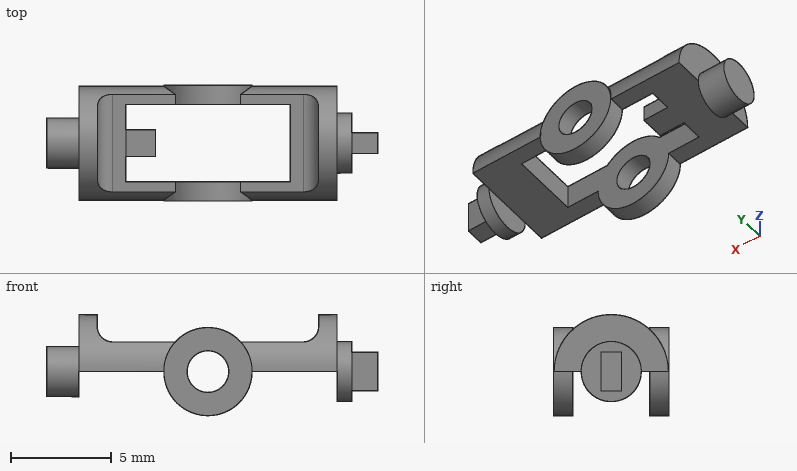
import cadquery as cq

body_length = 12.83
end_wall = 0.92
floor_height = 1.48
floor_fillet = 0.75

window_length = 8.16
window_width = 3.82

eye_diameter = 4.4
eye_bore = 2.05
overall_width = 5.75
overall_height = 5.03
body_radius = overall_height - eye_diameter / 2

pin_diameter = 2.5
pin_length = 1.6
flange_diameter = 3.0
flange_length = 0.74
tang_length = 1.28
tang_width = 1.04
tang_height = 1.92

peg_length = 1.48
peg_width = 1.35
peg_height = 0.94

half_body = body_length / 2


def cylinder_x(start, length, diameter):
    return cq.Workplane("YZ", origin=(start, 0, 0)).circle(diameter / 2).extrude(length)


def make_body():
    """Half cylinder with a filleted recess between its end walls and an open window."""
    upper_half = cq.Workplane("XY").box(
        body_length, 2 * body_radius, body_radius, centered=(True, True, False)
    )
    body = cylinder_x(-half_body, body_length, 2 * body_radius).intersect(upper_half)
    recess = (
        cq.Workplane("XY", origin=(0, 0, floor_height))
        .box(body_length - 2 * end_wall, 2 * body_radius, body_radius, centered=(True, True, False))
        .edges("|Y and <Z")
        .fillet(floor_fillet)
    )
    window = cq.Workplane("XY").box(window_length, window_width, 2 * body_radius)
    return body.cut(recess).cut(window)


def make_eyes():
    """Two discs along Y, separated by the window width."""
    discs = cq.Workplane("XZ").circle(eye_diameter / 2).extrude(overall_width / 2, both=True)
    gap = cq.Workplane("XY").box(eye_diameter, window_width, eye_diameter)
    return discs.cut(gap)


def make_tang():
    start = half_body + flange_length
    return cq.Workplane("XY", origin=(start, 0, 0)).box(
        tang_length, tang_width, tang_height, centered=(False, True, True)
    )


def make_peg():
    return cq.Workplane("XY", origin=(-window_length / 2, 0, 0)).box(
        peg_length, peg_width, peg_height, centered=(False, True, False)
    )


bore = cq.Workplane("XZ").circle(eye_bore / 2).extrude(overall_width, both=True)

result = (
    make_body()
    .union(make_eyes())
    .cut(bore)
    .union(cylinder_x(-half_body - pin_length, pin_length, pin_diameter))
    .union(cylinder_x(half_body, flange_length, flange_diameter))
    .union(make_tang())
    .union(make_peg())
)